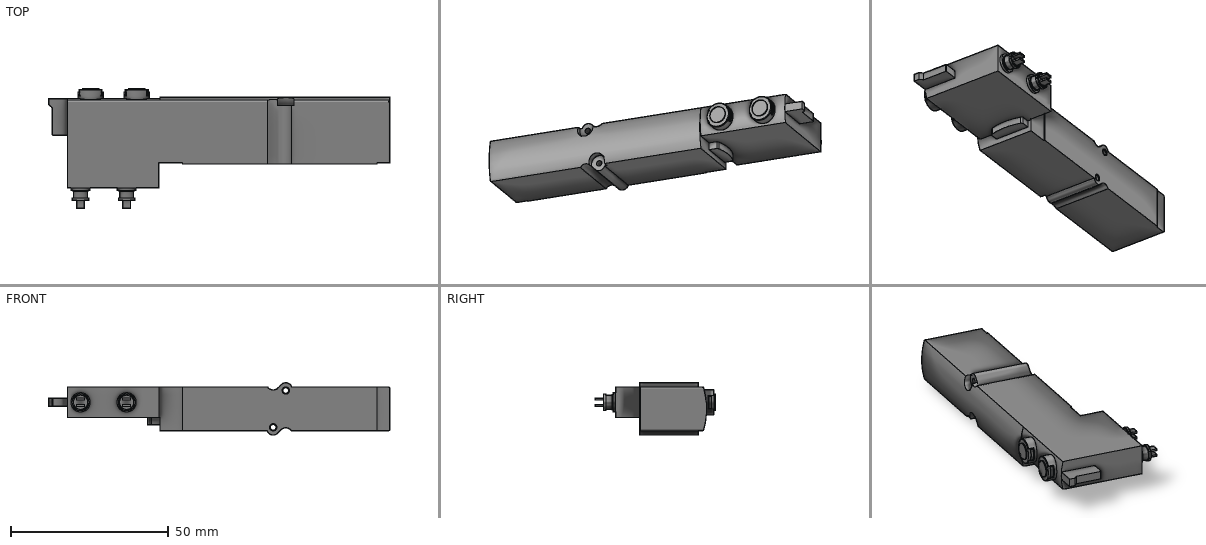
import cadquery as cq
import math


body_left = 29.35
body_right = 102.5
body_height = 14.0
body_front = 7.6
relief_front = 7.95
pad_left = 36.5
pad_right = 98.4
end_corner_radius = 0.6

foot_right = 29.05
foot_height = 9.8
foot_bottom = body_height - foot_height
foot_mid = body_height - foot_height / 2

back_corner = 27.9
body_bulge = 1.0
foot_bulge = 0.6
back_bevel_width = 0.7
back_bevel_drop = 0.1

screw_x = 69.4
screw_z = 12.85
screw_hole_diameter = 1.8
screw_entry_diameter = 2.3
screw_head_diameter = 5.3
screw_seat = 26.25
boss_radius = 2.0
boss_rise = 1.35
groove_x = 65.4
groove_radius = 2.2
groove_depth = 0.95

tab_length = 6.0
tab_thickness = 2.6
tab_back = 28.4
tab_front = 16.7
tab_nose = 1.1
tab_nose_front = 26.5
tab_shank_back = 25.5
tab_bevel = 0.3

latch_tip = 25.4
latch_shoulder = 26.7
latch_bevel_end = 26.2
latch_front = 9.2
latch_back = 21.4
latch_bevel = 0.6
latch_bottom = 1.9

connector_x = 4.15
connector_pitch = 14.65
connector_base_diameter = 6.1
connector_base_length = 0.8
connector_neck_diameter = 4.8
connector_neck_length = 1.15
connector_shaft_diameter = 4.5
connector_rim_diameter = 5.3
connector_rim_start = 3.15
connector_length = 3.95
connector_bore_diameter = 4.5
connector_bore_depth = 0.4
blade_tip = 6.53
blade_width = 2.5
blade_thickness = 0.65
blade_spacing = 1.95

cap_x = 7.35
cap_diameter = 8.1
cap_shoulder = 31.3
cap_chamfer = 0.2
cap_top = 31.66
cap_disc_diameter = 5.3
cap_core_diameter = 7.4
cap_notch_width = 4.2
cap_notch_start = 29.3
cap_lug_width = 3.8
cap_lug_start = 29.6
cap_lug_end = 30.5


def box(x0, x1, y0, y1, z0, z1):
    return cq.Workplane("XY").box(x1 - x0, y1 - y0, z1 - z0, centered=False).translate((x0, y0, z0))


def post(x, z, diameter, y0, y1):
    """Cylinder along Y."""
    return cq.Workplane("XZ", origin=(x, y0, z)).circle(diameter / 2).extrude(y0 - y1)


def domed_block(x0, x1, front, bottom, bulge):
    """Block whose back face is a shallow arc with a narrow bevel above and below it."""
    bevel_start = back_corner - back_bevel_width
    upper = body_height - back_bevel_drop
    lower = bottom + back_bevel_drop
    return (
        cq.Workplane("YZ", origin=(x0, 0, 0))
        .moveTo(front, bottom)
        .lineTo(bevel_start, bottom)
        .lineTo(back_corner, lower)
        .threePointArc((back_corner + bulge, (upper + lower) / 2), (back_corner, upper))
        .lineTo(bevel_start, body_height)
        .lineTo(front, body_height)
        .close()
        .extrude(x1 - x0)
    )


def make_body():
    body = domed_block(body_left, body_right, relief_front, 0, body_bulge)
    body = body.edges("|Y and >X").fillet(end_corner_radius)
    pad = box(pad_left, pad_right, body_front, screw_seat, 0, body_height)
    return body.union(pad)


def boss_section():
    """Key points of the boss outline, which runs down a straight flank into the groove."""
    boss_z = body_height + boss_rise - boss_radius
    groove_z = body_height - groove_depth + groove_radius
    run = screw_x - groove_x
    drop = groove_z - boss_z
    tilt = math.asin((boss_radius + groove_radius) / math.hypot(run, drop)) - math.atan2(drop, run)
    sine = math.sin(tilt)
    cosine = math.cos(tilt)
    boss_tangent = (screw_x - boss_radius * sine, boss_z + boss_radius * cosine)
    groove_tangent = (groove_x + groove_radius * sine, groove_z - groove_radius * cosine)
    groove_end = groove_x - math.sqrt(groove_radius**2 - (groove_z - body_height) ** 2)
    boss_end = screw_x + math.sqrt(boss_radius**2 - (body_height - boss_z) ** 2)
    return groove_end, groove_z, groove_tangent, boss_tangent, boss_end


def add_screw_station(body):
    """Groove, boss, screw hole and open head seat along the top face."""
    groove_end, groove_z, groove_tangent, boss_tangent, boss_end = boss_section()
    back = back_corner + body_bulge
    groove_floor = (groove_x, body_height - groove_depth)
    clearance_top = body_height + 2 * boss_rise
    clearance = (
        cq.Workplane("XZ", origin=(0, body_front, 0))
        .moveTo(groove_end, clearance_top)
        .lineTo(groove_end, body_height)
        .threePointArc(groove_floor, groove_tangent)
        .lineTo(*boss_tangent)
        .lineTo(boss_tangent[0], clearance_top)
        .close()
        .extrude(body_front - back)
    )
    boss = (
        cq.Workplane("XZ", origin=(0, body_front, 0))
        .moveTo(*groove_tangent)
        .lineTo(*boss_tangent)
        .threePointArc((screw_x, body_height + boss_rise), (boss_end, body_height))
        .lineTo(boss_end, screw_z)
        .lineTo(groove_tangent[0], screw_z)
        .close()
        .extrude(body_front - screw_seat)
    )
    half_head = screw_head_diameter / 2
    seat = post(screw_x, screw_z, screw_head_diameter, screw_seat, back).union(
        box(screw_x - half_head, screw_x + half_head, screw_seat, back, screw_z, clearance_top)
    )
    hole = post(screw_x, screw_z, screw_hole_diameter, body_front, back)
    entry = cq.Workplane("XY").add(
        cq.Solid.makeCone(
            screw_entry_diameter / 2,
            0,
            screw_entry_diameter / 2,
            pnt=cq.Vector(screw_x, body_front, screw_z),
            dir=cq.Vector(0, 1, 0),
        )
    )
    return body.cut(clearance).union(boss).cut(seat).cut(hole).cut(entry)


def half_turn(body):
    """Turn the body end for end about the axis midway between the two screws."""
    middle = ((screw_x + groove_x) / 2, body_height / 2)
    return body.rotate((middle[0], 0, middle[1]), (middle[0], 1, middle[1]), 180)


def make_foot():
    foot = domed_block(0, body_left, 0, foot_bottom, foot_bulge)
    return foot.cut(box(foot_right, body_left, 0, relief_front, foot_bottom, body_height))


def make_tab():
    shank_left = tab_nose - tab_length
    return (
        cq.Workplane("XY", origin=(0, 0, foot_mid - tab_thickness / 2))
        .moveTo(0, tab_front)
        .lineTo(shank_left + tab_bevel, tab_front)
        .lineTo(shank_left, tab_front + tab_bevel)
        .lineTo(shank_left, tab_shank_back)
        .lineTo(-tab_length, tab_nose_front)
        .lineTo(-tab_length, tab_back)
        .lineTo(0, tab_back)
        .close()
        .extrude(tab_thickness)
    )


def make_latch():
    return (
        cq.Workplane("XY", origin=(0, 0, latch_bottom))
        .moveTo(body_left, latch_front)
        .lineTo(latch_shoulder, latch_front)
        .lineTo(latch_bevel_end, latch_front + latch_bevel)
        .threePointArc(
            (latch_tip, (latch_front + latch_back) / 2),
            (latch_bevel_end, latch_back - latch_bevel),
        )
        .lineTo(latch_shoulder, latch_back)
        .lineTo(body_left, latch_back)
        .close()
        .extrude(foot_bottom - latch_bottom)
    )


def make_connector(x):
    """Stepped socket with two contact blades, pointing to -Y."""
    bore_floor = connector_bore_depth - connector_length
    socket = (
        post(x, foot_mid, connector_base_diameter, -connector_base_length, 0)
        .union(post(x, foot_mid, connector_neck_diameter, -connector_neck_length, 0))
        .union(post(x, foot_mid, connector_shaft_diameter, -connector_length, 0))
        .union(post(x, foot_mid, connector_rim_diameter, -connector_length, -connector_rim_start))
        .cut(post(x, foot_mid, connector_bore_diameter, -connector_length, bore_floor))
    )
    for side in (-1, 1):
        blade_mid = foot_mid + side * blade_spacing / 2
        blade = box(
            x - blade_width / 2,
            x + blade_width / 2,
            -blade_tip,
            bore_floor,
            blade_mid - blade_thickness / 2,
            blade_mid + blade_thickness / 2,
        )
        socket = socket.union(blade)
    return socket


def make_cap(x):
    """Round cap with a raised disc and a lug set in a notch on each X side."""
    radius = cap_diameter / 2
    barrel = post(x, foot_mid, cap_diameter, screw_seat, cap_shoulder).faces(">Y").chamfer(cap_chamfer)

    def side_band(width, y0, y1):
        """Parts of a ring between the notch floor and the outside of the cap, on both X sides."""
        ring = post(x, foot_mid, cap_diameter, y0, y1).cut(post(x, foot_mid, cap_core_diameter, y0, y1))
        return ring.intersect(
            box(x - radius, x + radius, y0, y1, foot_mid - width / 2, foot_mid + width / 2)
        )

    return (
        barrel.cut(side_band(cap_notch_width, cap_notch_start, cap_shoulder))
        .union(side_band(cap_lug_width, cap_lug_start, cap_lug_end))
        .union(post(x, foot_mid, cap_disc_diameter, screw_seat, cap_top))
    )


body = make_body()
for _ in range(2):
    body = half_turn(add_screw_station(body))

result = body.union(make_foot()).union(make_tab()).union(make_latch())
for index in range(2):
    offset = index * connector_pitch
    result = result.union(make_connector(connector_x + offset)).union(make_cap(cap_x + offset))